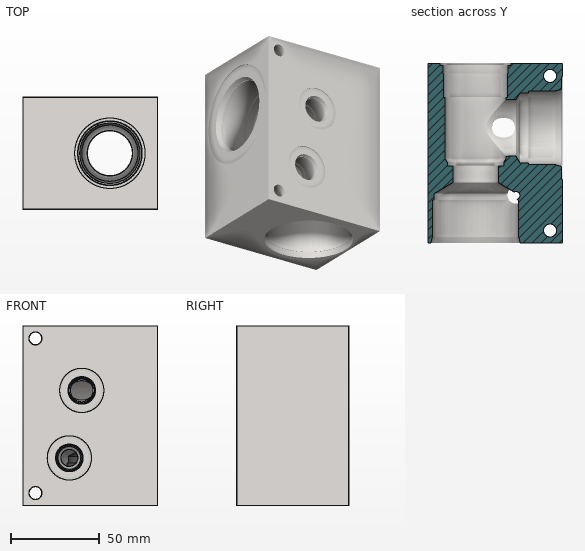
import cadquery as cq
import math

LENGTH = 76.2
WIDTH = 63.5
HEIGHT = 101.6

MAIN_BORE_X = 49.2
MID_Y = WIDTH / 2
SIDE_PORT_Z = 65.1
GAUGE_1_X, GAUGE_1_Z = 26.3, 26.97
GAUGE_2_X, GAUGE_2_Z = 33.3, SIDE_PORT_Z

MOUNT_DIAMETER = 7.14
MOUNT_INSET = 7.14

SPOTFACE_DEPTH = 0.5
DRILL_HALF_ANGLE = 59.0

CAVITY_RECESS_DIAMETER = 39.8
CAVITY_RECESS_DEPTH = 1.0
CAVITY_MOUTH_DIAMETER = 36.52
CAVITY_MOUTH_DEPTH = 5.85
CAVITY_THREAD_DIAMETER = 35.99
CAVITY_THREAD_DEPTH = 19.2
CAVITY_MINOR_DIAMETER = 34.11
CAVITY_MINOR_DEPTH = 54.0
CAVITY_TAPER_LENGTH = 2.0
CAVITY_BORE_DIAMETER = 31.75
CAVITY_BORE_DEPTH = 58.0
CAVITY_NOSE_DIAMETER = 25.4

SIDE_SPOTFACE_DIAMETER = 57.96
SIDE_SEAT_DIAMETER = 43.4
SIDE_SEAT_END_DIAMETER = 41.76
SIDE_SEAT_DEPTH = 3.8
SIDE_THREAD_DIAMETER = 41.28
SIDE_THREAD_DEPTH = 19.3
SIDE_MINOR_DIAMETER = 39.22
SIDE_MINOR_DEPTH = 24.1
SIDE_BORE_DIAMETER = 31.75

BOTTOM_SEAT_DIAMETER = 50.4
BOTTOM_SEAT_END_DIAMETER = 48.8
BOTTOM_SEAT_DEPTH = 3.3
BOTTOM_THREAD_DIAMETER = 48.4
BOTTOM_THREAD_DEPTH = 24.2
BOTTOM_MINOR_DIAMETER = 46.8
BOTTOM_MINOR_DEPTH = 27.8

GAUGE_SPOTFACE_DIAMETER = 25.02
GAUGE_SEAT_DIAMETER = 15.6
GAUGE_SEAT_END_DIAMETER = 14.53
GAUGE_SEAT_DEPTH = 3.0
GAUGE_THREAD_DIAMETER = 14.28
GAUGE_THREAD_DEPTH = 12.0
GAUGE_MINOR_DIAMETER = 12.9
GAUGE_1_MINOR_DEPTH = 14.0
GAUGE_2_MINOR_DEPTH = 16.3
GAUGE_DRILL_DIAMETER = 9.53
GAUGE_TIP_DEPTH = 33.0


def drill_cone_length(large_diameter, small_diameter=0.0):
    """Axial length of a drill-point cone between two diameters."""
    return (large_diameter - small_diameter) / 2 / math.tan(math.radians(DRILL_HALF_ANGLE))


def stepped_bore(origin, direction, stations):
    """Round cutter whose (depth, diameter) stations run inward from a face."""
    points = [(diameter / 2, depth) for depth, diameter in stations]
    points.insert(0, (0, stations[0][0]))
    end_depth, end_diameter = stations[-1]
    if end_diameter > 0:
        points.append((0, end_depth))
    radial = (0, 0, 1) if direction[2] == 0 else (1, 0, 0)
    normal = cq.Vector(*radial).cross(cq.Vector(*direction))
    plane = cq.Plane(origin=origin, xDir=radial, normal=normal.toTuple())
    return cq.Workplane(plane).polyline(points).close().revolve(360, (0, 0), (0, 1))


def cavity():
    """Stepped vertical cavity whose nose bore runs on through the block."""
    stations = [
        (0, CAVITY_RECESS_DIAMETER),
        (CAVITY_RECESS_DEPTH, CAVITY_RECESS_DIAMETER),
        (CAVITY_RECESS_DEPTH, CAVITY_MOUTH_DIAMETER),
        (CAVITY_MOUTH_DEPTH, CAVITY_MOUTH_DIAMETER),
        (CAVITY_MOUTH_DEPTH, CAVITY_THREAD_DIAMETER),
        (CAVITY_THREAD_DEPTH, CAVITY_THREAD_DIAMETER),
        (CAVITY_THREAD_DEPTH, CAVITY_MINOR_DIAMETER),
        (CAVITY_MINOR_DEPTH, CAVITY_MINOR_DIAMETER),
        (CAVITY_MINOR_DEPTH + CAVITY_TAPER_LENGTH, CAVITY_BORE_DIAMETER),
        (CAVITY_BORE_DEPTH, CAVITY_BORE_DIAMETER),
        (CAVITY_BORE_DEPTH, CAVITY_NOSE_DIAMETER),
        (HEIGHT, CAVITY_NOSE_DIAMETER),
    ]
    return stepped_bore((MAIN_BORE_X, MID_Y, HEIGHT), (0, 0, -1), stations)


def side_port():
    """Threaded port whose bore meets the vertical cavity at right angles."""
    cone_end = SIDE_MINOR_DEPTH + drill_cone_length(SIDE_MINOR_DIAMETER, SIDE_BORE_DIAMETER)
    stations = [
        (0, SIDE_SPOTFACE_DIAMETER),
        (SPOTFACE_DEPTH, SIDE_SPOTFACE_DIAMETER),
        (SPOTFACE_DEPTH, SIDE_SEAT_DIAMETER),
        (SIDE_SEAT_DEPTH, SIDE_SEAT_END_DIAMETER),
        (SIDE_SEAT_DEPTH, SIDE_THREAD_DIAMETER),
        (SIDE_THREAD_DEPTH, SIDE_THREAD_DIAMETER),
        (SIDE_THREAD_DEPTH, SIDE_MINOR_DIAMETER),
        (SIDE_MINOR_DEPTH, SIDE_MINOR_DIAMETER),
        (cone_end, SIDE_BORE_DIAMETER),
        (MAIN_BORE_X, SIDE_BORE_DIAMETER),
    ]
    return stepped_bore((0, MID_Y, SIDE_PORT_Z), (1, 0, 0), stations)


def bottom_port():
    """Threaded port below the cavity, narrowing to the nose bore."""
    cone_end = BOTTOM_MINOR_DEPTH + drill_cone_length(BOTTOM_MINOR_DIAMETER, CAVITY_NOSE_DIAMETER)
    stations = [
        (0, BOTTOM_SEAT_DIAMETER),
        (BOTTOM_SEAT_DEPTH, BOTTOM_SEAT_END_DIAMETER),
        (BOTTOM_SEAT_DEPTH, BOTTOM_THREAD_DIAMETER),
        (BOTTOM_THREAD_DEPTH, BOTTOM_THREAD_DIAMETER),
        (BOTTOM_THREAD_DEPTH, BOTTOM_MINOR_DIAMETER),
        (BOTTOM_MINOR_DEPTH, BOTTOM_MINOR_DIAMETER),
        (cone_end, CAVITY_NOSE_DIAMETER),
    ]
    return stepped_bore((MAIN_BORE_X, MID_Y, 0), (0, 0, 1), stations)


def gauge_port(x, z, minor_depth):
    """Gauge port, drilled on past its thread into the bore behind it."""
    cone_end = minor_depth + drill_cone_length(GAUGE_MINOR_DIAMETER, GAUGE_DRILL_DIAMETER)
    stations = [
        (0, GAUGE_SPOTFACE_DIAMETER),
        (SPOTFACE_DEPTH, GAUGE_SPOTFACE_DIAMETER),
        (SPOTFACE_DEPTH, GAUGE_SEAT_DIAMETER),
        (GAUGE_SEAT_DEPTH, GAUGE_SEAT_END_DIAMETER),
        (GAUGE_SEAT_DEPTH, GAUGE_THREAD_DIAMETER),
        (GAUGE_THREAD_DEPTH, GAUGE_THREAD_DIAMETER),
        (GAUGE_THREAD_DEPTH, GAUGE_MINOR_DIAMETER),
        (minor_depth, GAUGE_MINOR_DIAMETER),
        (cone_end, GAUGE_DRILL_DIAMETER),
        (GAUGE_TIP_DEPTH - drill_cone_length(GAUGE_DRILL_DIAMETER), GAUGE_DRILL_DIAMETER),
        (GAUGE_TIP_DEPTH, 0),
    ]
    return stepped_bore((x, 0, z), (0, 1, 0), stations)


def mounting_holes():
    """Two plain holes along Y near the -X edge."""
    centres = [(MOUNT_INSET, z) for z in (MOUNT_INSET, HEIGHT - MOUNT_INSET)]
    return cq.Workplane("XZ").pushPoints(centres).circle(MOUNT_DIAMETER / 2).extrude(-WIDTH)


result = cq.Workplane("XY").box(LENGTH, WIDTH, HEIGHT, centered=False)
for cutter in (
    cavity(),
    side_port(),
    bottom_port(),
    gauge_port(GAUGE_1_X, GAUGE_1_Z, GAUGE_1_MINOR_DEPTH),
    gauge_port(GAUGE_2_X, GAUGE_2_Z, GAUGE_2_MINOR_DEPTH),
    mounting_holes(),
):
    result = result.cut(cutter)